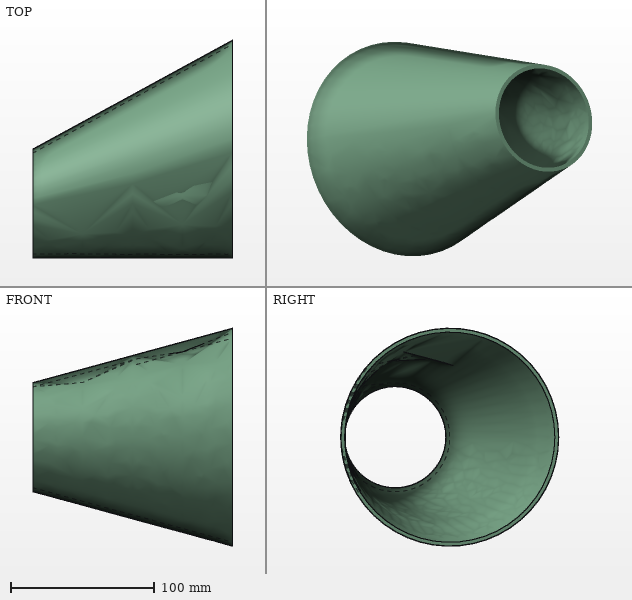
import cadquery as cq

LENGTH = 139.7
LARGE_OD = 152.4
SMALL_OD = 76.2
WALL = 2.77

ECCENTRICITY = (LARGE_OD - SMALL_OD) / 2


def oblique_cone(small_diameter, large_diameter):
    """Ruled solid from the offset small circle at X = 0 to the large circle at X = LENGTH."""
    return (
        cq.Workplane("YZ")
        .center(-ECCENTRICITY, 0)
        .circle(small_diameter / 2)
        .workplane(offset=LENGTH)
        .center(ECCENTRICITY, 0)
        .circle(large_diameter / 2)
        .loft(ruled=True)
    )


outer_body = oblique_cone(SMALL_OD, LARGE_OD)
bore = oblique_cone(SMALL_OD - 2 * WALL, LARGE_OD - 2 * WALL)

result = outer_body.cut(bore)